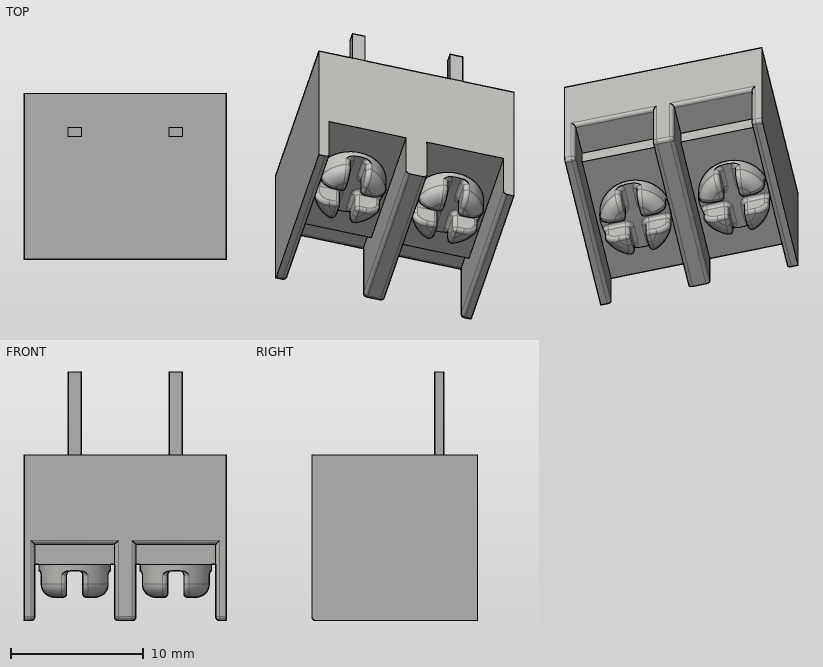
import cadquery as cq

PITCH = 7.62
POLE_COUNT = 2
BODY_WIDTH = POLE_COUNT * PITCH
BODY_DEPTH = 12.5
BODY_HEIGHT = 12.5
EDGE_RADIUS = 0.3

BAY_WIDTH = 6.0
BAY_CEILING = 6.75
BLOCK_HEIGHT = 1.5
BLOCK_SETBACK = 2.5
BLOCK_BOTTOM = BAY_CEILING + BLOCK_HEIGHT

HEAD_RADIUS = 2.7
HEAD_HEIGHT = 2.5
HEAD_TIP_RADIUS = 1.0
SLOT_WIDTH = 1.2
SLOT_DEPTH = 2.0
LOBE_COUNT = 4
RIM_ALLOWANCE = 2 * EDGE_RADIUS
HEAD_Y = (BLOCK_SETBACK + BODY_DEPTH) / 2
SLOT_ROOF_Z = -BLOCK_BOTTOM - HEAD_HEIGHT + SLOT_DEPTH

PIN_WIDTH = 1.0
PIN_THICKNESS = 0.7
PIN_LENGTH = 6.25
PIN_BACK_MARGIN = 2.55

TOLERANCE = 1e-3
POLE_XS = [(i - (POLE_COUNT - 1) / 2) * PITCH for i in range(POLE_COUNT)]


def box(x_size, y_min, y_max, z_min, z_max):
    """Box centred on X = 0 between the given Y and Z limits."""
    return cq.Workplane("XY").box(
        x_size, y_max - y_min, z_max - z_min, centered=(True, False, False)
    ).translate((0, y_min, z_min))


def is_bay_or_front_bottom_edge(edge):
    """True for the bay rim on the front face, the front bottom edges and the bay's bottom edges."""
    limits = edge.BoundingBox()
    on_front = limits.ymax < TOLERANCE
    on_bottom = limits.zmax < -BODY_HEIGHT + TOLERANCE
    on_top = limits.zmin > -TOLERANCE
    on_side = abs(edge.Center().x) > BODY_WIDTH / 2 - TOLERANCE
    runs_along_y = limits.ylen > BODY_DEPTH - TOLERANCE
    if on_top or on_side:
        return False
    return on_front or (on_bottom and runs_along_y)


def make_housing():
    """Rectangular block with a bay through it under each pole, rounded around the wire entries."""
    housing = box(BODY_WIDTH, 0, BODY_DEPTH, -BODY_HEIGHT, 0)
    bay = box(BAY_WIDTH, 0, BODY_DEPTH, -BODY_HEIGHT, -BAY_CEILING)
    for x in POLE_XS:
        housing = housing.cut(bay.translate((x, 0, 0)))
    rounded = [e for e in housing.edges().vals() if is_bay_or_front_bottom_edge(e)]
    return housing.newObject(rounded).fillet(EDGE_RADIUS)


def make_lobe():
    """One rounded post of the cross-slotted head, standing below Z = 0 in the +X +Y quadrant."""
    round_tip = (
        cq.Workplane("XY")
        .circle(HEAD_RADIUS)
        .extrude(-SLOT_DEPTH)
        .faces("<Z")
        .edges()
        .fillet(HEAD_TIP_RADIUS)
    )
    quadrant = (
        cq.Workplane("XY")
        .box(HEAD_RADIUS, HEAD_RADIUS, SLOT_DEPTH, centered=False)
        .translate((SLOT_WIDTH / 2, SLOT_WIDTH / 2, -SLOT_DEPTH))
    )
    post = round_tip.intersect(quadrant)
    return post.faces("<X or <Y").edges("not >Z").fillet(EDGE_RADIUS)


def make_screw_head():
    """Screw head on the Z axis with its cross slot opening downwards and its slot roof at Z = 0."""
    base_height = HEAD_HEIGHT - SLOT_DEPTH
    head = cq.Workplane("XY").circle(HEAD_RADIUS + RIM_ALLOWANCE).extrude(base_height)
    lobe = make_lobe()
    for i in range(LOBE_COUNT):
        head = head.union(lobe.rotate((0, 0, 0), (0, 0, 1), i * 360 / LOBE_COUNT))
    slot_roof = head.faces(cq.selectors.NearestToPointSelector((0, 0, 0)))
    lobe_feet = slot_roof.edges().filter(lambda edge: edge.BoundingBox().xlen < HEAD_RADIUS)
    head = lobe_feet.fillet(EDGE_RADIUS)
    trim = cq.Workplane("XY").workplane(offset=-SLOT_DEPTH).circle(HEAD_RADIUS).extrude(HEAD_HEIGHT)
    return head.intersect(trim)


def make_pin():
    """Straight solder pin standing on the top face."""
    pin_back = BODY_DEPTH - PIN_BACK_MARGIN
    return box(PIN_WIDTH, pin_back - PIN_THICKNESS, pin_back, 0, PIN_LENGTH)


def make_clamp_block():
    """Block filling the width of the bay under its ceiling, set back from the front face."""
    return box(BAY_WIDTH, BLOCK_SETBACK, BODY_DEPTH, -BLOCK_BOTTOM, -BAY_CEILING)


result = make_housing()
clamp_block = make_clamp_block()
screw_head = make_screw_head().translate((0, HEAD_Y, SLOT_ROOF_Z))
pin = make_pin()
for pole_x in POLE_XS:
    for feature in (clamp_block, screw_head, pin):
        result = result.union(feature.translate((pole_x, 0, 0)))